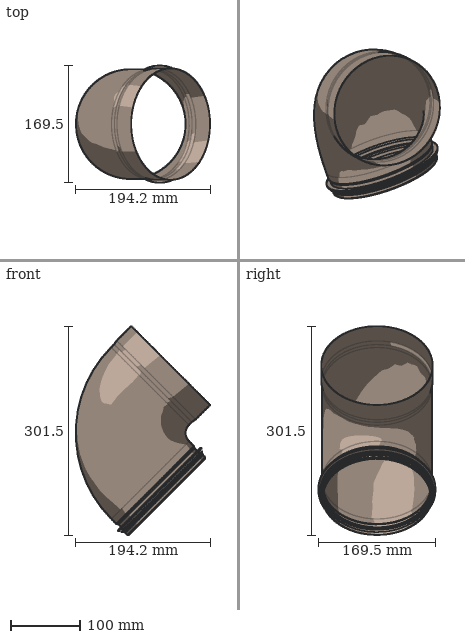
import cadquery as cq
import math

BEND_ANGLE = 90.0
BEND_RADIUS = 95.5
TUBE_RADIUS = 159.0 / 2
WALL = 0.45

SOCKET_RADIUS = 161.3 / 2
SOCKET_CONE_START = 6.0
SOCKET_CONE_END = 12.5
SOCKET_END = 42.0

SPIGOT_RADIUS = 155.5 / 2
SPIGOT_CONE_START = 10.5
SPIGOT_CONE_END = 13.3
SPIGOT_END = 34.7

SEAL_BASE_RADIUS = 156.7 / 2
LARGE_LIP_RADIUS = 169.5 / 2
SMALL_LIP_RADIUS = 164.3 / 2
SEAL_SHOULDER_RADIUS = 160.5 / 2
SEAL_START = 18.7
LARGE_LIP_END = 20.5
SMALL_LIP_START = 23.5
SMALL_LIP_END = 24.7
SHOULDER_END = 26.8
SEAL_END = 28.5

BAND_RADIUS = TUBE_RADIUS
BAND_START = SEAL_END
BAND_CHAMFER = 1.5


def end_plane(side):
    """Plane at one bend end (side 1 upper, -1 lower): local x across, local y outward along the tube."""
    half_angle = math.radians(BEND_ANGLE / 2)
    centre = cq.Vector(-BEND_RADIUS * math.cos(half_angle), 0, side * BEND_RADIUS * math.sin(half_angle))
    outward = cq.Vector(math.sin(half_angle), 0, side * math.cos(half_angle))
    across = cq.Vector(0, 1, 0)
    return cq.Plane(origin=centre, xDir=across, normal=across.cross(outward))


def turned(side, profile):
    """Revolve a closed profile of (radius, distance) points about the tube axis at one end."""
    return cq.Workplane(end_plane(side)).polyline(profile).close().revolve(360, (0, 0), (0, 1))


def stepped_tube(side, outer_line):
    """Thin tube whose outside follows the given (radius, distance) points."""
    inner_line = [(radius - WALL, distance) for radius, distance in reversed(outer_line)]
    return turned(side, outer_line + inner_line)


def make_bend():
    """Quarter torus shell, from the lower bend end up to the upper one."""
    half_angle = math.radians(BEND_ANGLE / 2)
    end_x = -BEND_RADIUS * math.cos(half_angle)
    end_z = BEND_RADIUS * math.sin(half_angle)
    path = cq.Workplane("XZ").moveTo(end_x, -end_z).threePointArc((-BEND_RADIUS, 0), (end_x, end_z))
    section_plane = end_plane(-1).rotated((90, 0, 0))
    ring = cq.Workplane(section_plane).circle(TUBE_RADIUS).circle(TUBE_RADIUS - WALL)
    return ring.sweep(path)


def make_elbow():
    """Bend with a widened socket above and a narrowed spigot below, in one sheet."""
    socket = stepped_tube(1, [
        (TUBE_RADIUS, 0),
        (TUBE_RADIUS, SOCKET_CONE_START),
        (SOCKET_RADIUS, SOCKET_CONE_END),
        (SOCKET_RADIUS, SOCKET_END),
    ])
    spigot = stepped_tube(-1, [
        (TUBE_RADIUS, 0),
        (TUBE_RADIUS, SPIGOT_CONE_START),
        (SPIGOT_RADIUS, SPIGOT_CONE_END),
        (SPIGOT_RADIUS, SPIGOT_END),
    ])
    return make_bend().union(socket).union(spigot)


def make_seal():
    """Seal ring with a large lip, a smaller lip a low shoulder and a flat rim against the end band."""
    return turned(-1, [
        (SPIGOT_RADIUS, SEAL_START),
        (LARGE_LIP_RADIUS, SEAL_START),
        (LARGE_LIP_RADIUS, LARGE_LIP_END),
        (SEAL_BASE_RADIUS, LARGE_LIP_END),
        (SEAL_BASE_RADIUS, SMALL_LIP_START),
        (SMALL_LIP_RADIUS, SMALL_LIP_START),
        (SMALL_LIP_RADIUS, SMALL_LIP_END),
        (SEAL_SHOULDER_RADIUS, SMALL_LIP_END),
        (SEAL_SHOULDER_RADIUS, SHOULDER_END),
        (BAND_RADIUS, SHOULDER_END),
        (BAND_RADIUS, SEAL_END),
        (SPIGOT_RADIUS, SEAL_END),
    ])


def make_end_band():
    """Band flush with the spigot end, bevelled on its outer end edge."""
    return turned(-1, [
        (SPIGOT_RADIUS, BAND_START),
        (BAND_RADIUS, BAND_START),
        (BAND_RADIUS, SPIGOT_END - BAND_CHAMFER),
        (BAND_RADIUS - BAND_CHAMFER, SPIGOT_END),
        (SPIGOT_RADIUS, SPIGOT_END),
    ])


elbow = make_elbow()
seal = make_seal()
end_band = make_end_band()

result = cq.Compound.makeCompound([elbow.val(), seal.val(), end_band.val()])